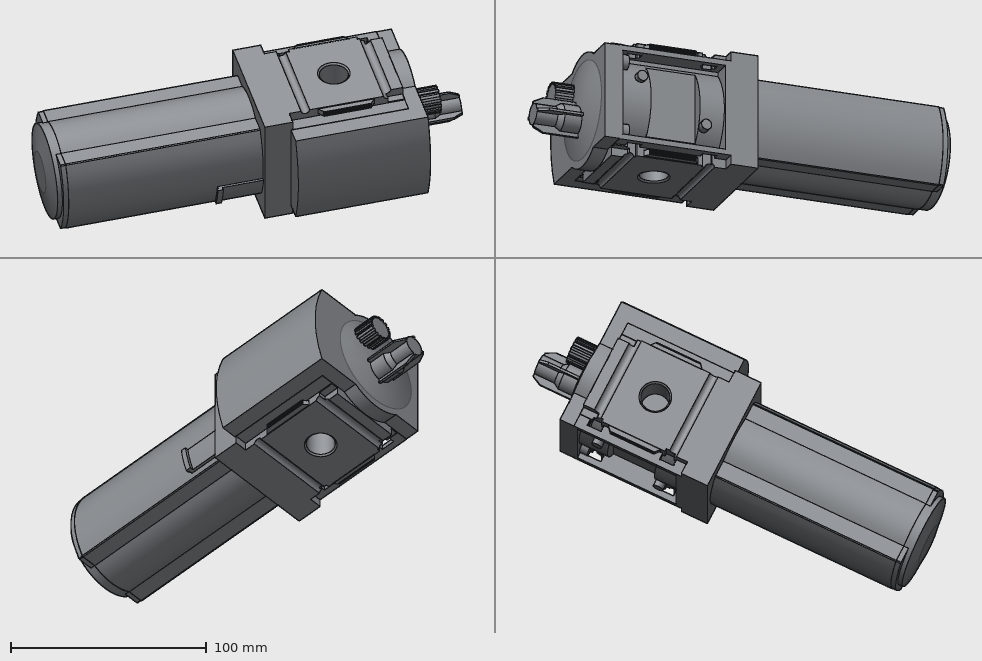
import cadquery as cq
import math

total_length = 222.0
total_width = 75.7

body_size = 62.0
body_half = body_size / 2
body_bottom = 110.5
frame_bottom = 125.5
frame_top = 186.7
frame_half_z = 26.0
panel_half_x = 24.0

cap_top = 194.7
cap_half_z = 25.8
bracket_bottom = 124.5
bracket_edge_x = 39.7
bracket_crown_x = total_width - body_half
cap_bulge_half_x = 14.9
cap_bulge_z = 30.6
dome_radius = 26.2
dome_height = 4.0

port_y = 155.6
port_diameter = 14.9
port_chamfer = 0.9
port_depth = 17.8
groove_depth = 2.0
groove_spans = [(175.4, 180.5), (131.6, 136.3)]
corner_x = 20.0
corner_bottom = 177.8
corner_z = 26.6
tab_width = 2.9
tab_length = 29.7
tab_slant = 2.5
tab_bottom_z = 27.3
tab_top_z = 30.5
ridge_count = 3
ridge_depth = 0.5
slot_places = [177.0, 135.6]
slot_outer_x = -27.5
slot_length = 7.8
slot_notch_x = -22.5
slot_notch_length = 5.0

window_bottom = 128.3
window_top = 184.7
window_half_z = 23.0
core_radius = 29.0
core_half_z = 20.9
flat_bottom = 141.6
flat_top = 168.5
flat_half_z = 18.9
pin_diameter = 5.5
pin_tip_x = -30.9
pin_places = [(173.8, 10.9), (138.8, -10.9)]
lug_radius = 4.0
lug_length = 4.5
lug_x = -24.9

bowl_diameter = 50.5
guard_half_x = 27.8
guard_corner = 21.8
guard_chamfer = 0.5
guard_end = 4.9
seam_y = 7.5
seam_step = 0.2
rim_y = 2.5
rim_radius = 24.5
bowl_end_radius = 10.9

lever_thickness = 1.3
lever_tip_thickness = 3.0
lever_end = 86.0
lever_strip_end = 86.5
lever_tip_length = 2.9
lever_z = (-19.0, -7.0)

knob_z = -6.0
knob_half = 9.5
knob_chamfer_y = 5.3
knob_top_half = 6.9
fin_thickness = 1.3
stem_radius = 5.5
stem_base_radius = 7.5
stem_cone = (207.3, 210.5)
wheel_x = 10.2
wheel_z = 10.0
wheel_radius = 7.0
wheel_top = 208.0
tooth_count = 16
tooth_gap = 1.3
tooth_depth = 1.0


def box(x, y, z):
    """Box between the (low, high) limits given for each axis."""
    solid = cq.Workplane("XY").box(x[1] - x[0], y[1] - y[0], z[1] - z[0], centered=False)
    return solid.translate((x[0], y[0], z[0]))


def along_y(y_start):
    """Sketch plane facing +Y with local coordinates (X, -Z)."""
    return cq.Workplane("XZ", origin=(0, y_start, 0)).transformed(rotate=(180, 0, 0))


def cylinder_y(x, z, radius, y_start, y_end):
    return along_y(y_start).center(x, -z).circle(radius).extrude(y_end - y_start)


def both_z(solid):
    return solid.union(solid.mirror("XY"))


def both_x(solid):
    return solid.union(solid.mirror("YZ"))


def make_body():
    body = box((-body_half, body_half), (body_bottom, frame_top), (-body_half, body_half))
    step = box((panel_half_x, body_half), (frame_bottom, frame_top), (frame_half_z, body_half))
    body = body.cut(both_x(both_z(step)))
    corner = box((corner_x, panel_half_x), (corner_bottom, frame_top), (corner_z, body_half))
    body = body.cut(both_x(both_z(corner)))
    for low, high in groove_spans:
        groove = (
            cq.Workplane("YZ", origin=(-panel_half_x, 0, 0))
            .moveTo(low, body_half)
            .threePointArc(((low + high) / 2, body_half - groove_depth), (high, body_half))
            .close()
            .extrude(2 * panel_half_x)
        )
        body = body.cut(both_z(groove))
    return body


def make_port():
    hole_radius = port_diameter / 2
    profile = [
        (0, body_half),
        (hole_radius + port_chamfer, body_half),
        (hole_radius, body_half - port_chamfer),
        (hole_radius, body_half - port_depth),
        (0, body_half - port_depth),
    ]
    port = cq.Workplane("XZ").polyline(profile).close().revolve(360, (0, 0, 0), (0, 1, 0))
    return both_z(port.translate((0, port_y, 0)))


def make_grip_tab():
    outer_x = panel_half_x + tab_width
    half = tab_length / 2
    outline = [
        (panel_half_x, port_y - half),
        (outer_x, port_y - half + tab_slant),
        (outer_x, port_y + half - tab_slant),
        (panel_half_x, port_y + half),
    ]
    height = tab_top_z - tab_bottom_z
    tab = cq.Workplane("XY", origin=(0, 0, tab_bottom_z)).polyline(outline).close().extrude(height)
    pitch = height / (2 * ridge_count + 1)
    for i in range(ridge_count):
        z = tab_bottom_z + (2 * i + 1) * pitch
        tab = tab.cut(box((outer_x - ridge_depth, outer_x), (port_y - half, port_y + half), (z, z + pitch)))
    return tab


def make_slot(y):
    z_range = (window_half_z, body_half)
    half = slot_length / 2
    notch_half = slot_notch_length / 2
    slot = box((slot_outer_x, -panel_half_x), (y - half, y + half), z_range)
    return slot.union(box((-panel_half_x, slot_notch_x), (y - notch_half, y + notch_half), z_range))


def make_cap():
    cap_thickness = cap_top - frame_top
    cap = box((-body_half, body_half), (frame_top, cap_top), (-cap_half_z, cap_half_z))
    bulge = (
        along_y(frame_top)
        .moveTo(-cap_bulge_half_x, cap_half_z)
        .threePointArc((0, cap_bulge_z), (cap_bulge_half_x, cap_half_z))
        .lineTo(cap_bulge_half_x, -cap_half_z)
        .threePointArc((0, -cap_bulge_z), (-cap_bulge_half_x, -cap_half_z))
        .close()
        .extrude(cap_thickness)
    )
    bracket = (
        along_y(bracket_bottom)
        .moveTo(body_half, cap_half_z)
        .lineTo(bracket_edge_x, cap_half_z)
        .threePointArc((bracket_crown_x, 0), (bracket_edge_x, -cap_half_z))
        .lineTo(body_half, -cap_half_z)
        .close()
        .extrude(cap_top - bracket_bottom)
    )
    dome = (
        cq.Workplane("XY")
        .moveTo(0, cap_top)
        .lineTo(dome_radius, cap_top)
        .radiusArc((0, cap_top + dome_height), -(dome_radius**2 + dome_height**2) / (2 * dome_height))
        .close()
        .revolve(360, (0, 0, 0), (0, 1, 0))
    )
    return cap.union(bulge).union(bracket).union(dome)


def make_window():
    """Material removed from the -X side, leaving the round core with its flat."""
    core_edge_x = -math.sqrt(core_radius**2 - core_half_z**2)
    flat_x = -math.sqrt(core_radius**2 - flat_half_z**2)
    opening = box((-body_half, core_edge_x), (window_bottom, window_top), (-window_half_z, window_half_z))
    core = cylinder_y(0, 0, core_radius, window_bottom, window_top)
    flat = box((-body_half, flat_x), (flat_bottom, flat_top), (-flat_half_z, flat_half_z))
    return opening.cut(core.cut(flat))


def make_window_parts():
    lug_z = window_half_z - lug_radius
    parts = both_z(cylinder_y(lug_x, lug_z, lug_radius, window_top - lug_length, window_top))
    for y, z in pin_places:
        pin = cq.Workplane("YZ", origin=(pin_tip_x, y, z)).circle(pin_diameter / 2).extrude(-pin_tip_x)
        parts = parts.union(pin)
    return parts


def make_guard(y_start, y_end, inset):
    corner = guard_corner - inset
    side = guard_half_x - inset
    guard = (
        along_y(y_start)
        .moveTo(-corner, corner)
        .lineTo(corner, corner)
        .threePointArc((side, 0), (corner, -corner))
        .lineTo(-corner, -corner)
        .threePointArc((-side, 0), (-corner, corner))
        .close()
        .extrude(y_end - y_start)
    )
    return guard.edges("|Y").chamfer(guard_chamfer)


def make_bowl():
    radius = bowl_diameter / 2
    profile = [
        (0, 0),
        (bowl_end_radius, 0),
        (rim_radius, rim_y),
        (radius - seam_step, rim_y),
        (radius - seam_step, seam_y),
        (radius, seam_y),
        (radius, body_bottom),
        (0, body_bottom),
    ]
    bowl = cq.Workplane("XY").polyline(profile).close().revolve(360, (0, 0, 0), (0, 1, 0))
    guard = make_guard(guard_end, seam_y, seam_step).union(make_guard(seam_y, body_bottom, 0))
    return bowl.union(guard)


def make_lever():
    """Strip that follows the round side of the guard, with a catch standing out at its end."""
    rise = guard_half_x - guard_corner
    guard_radius = (guard_corner**2 + rise**2) / (2 * rise)
    center_x = guard_half_x - guard_radius
    strip_radius = guard_radius + lever_thickness
    tip_radius = guard_radius + lever_tip_thickness
    tip_top = lever_end + lever_tip_length
    strip = cylinder_y(center_x, 0, strip_radius, lever_strip_end, body_bottom)
    strip = strip.cut(cylinder_y(center_x, 0, guard_radius, lever_strip_end, body_bottom))
    tip = cylinder_y(center_x, 0, tip_radius, lever_end, tip_top)
    tip = tip.cut(cylinder_y(center_x, 0, strip_radius, lever_end, tip_top))
    return strip.union(tip).intersect(box((0, body_half), (lever_end, body_bottom), lever_z))


def make_knob():
    cone_low, cone_high = stem_cone
    stem_profile = [
        (0, cap_top),
        (stem_base_radius, cap_top),
        (stem_base_radius, cone_low),
        (stem_radius, cone_high),
        (stem_radius, total_length),
        (0, total_length),
    ]
    stem = cq.Workplane("XY").polyline(stem_profile).close().revolve(360, (0, 0, 0), (0, 1, 0))
    fin_outline = [
        (-knob_half, cap_top),
        (knob_half, cap_top),
        (knob_half, total_length - knob_chamfer_y),
        (knob_top_half, total_length),
        (-knob_top_half, total_length),
        (-knob_half, total_length - knob_chamfer_y),
    ]
    fin = cq.Workplane("XY").polyline(fin_outline).close().extrude(fin_thickness / 2, both=True)
    cross_fin = fin.rotate((0, 0, 0), (0, 1, 0), 90)
    return stem.union(fin).union(cross_fin).translate((0, 0, knob_z))


def make_wheel():
    wheel = cylinder_y(0, 0, wheel_radius, cap_top, wheel_top)
    gap = box(
        (wheel_radius - tooth_depth, wheel_radius + tooth_depth),
        (cap_top, wheel_top),
        (-tooth_gap / 2, tooth_gap / 2),
    )
    for i in range(tooth_count):
        wheel = wheel.cut(gap.rotate((0, 0, 0), (0, 1, 0), i * 360 / tooth_count))
    return wheel.translate((wheel_x, 0, wheel_z))


result = make_body().union(make_cap()).cut(make_window()).union(make_window_parts())
result = result.union(both_x(both_z(make_grip_tab())))
for slot_y in slot_places:
    result = result.cut(both_z(make_slot(slot_y)))
result = result.cut(make_port())
result = result.union(make_bowl()).union(make_lever()).union(make_knob()).union(make_wheel())